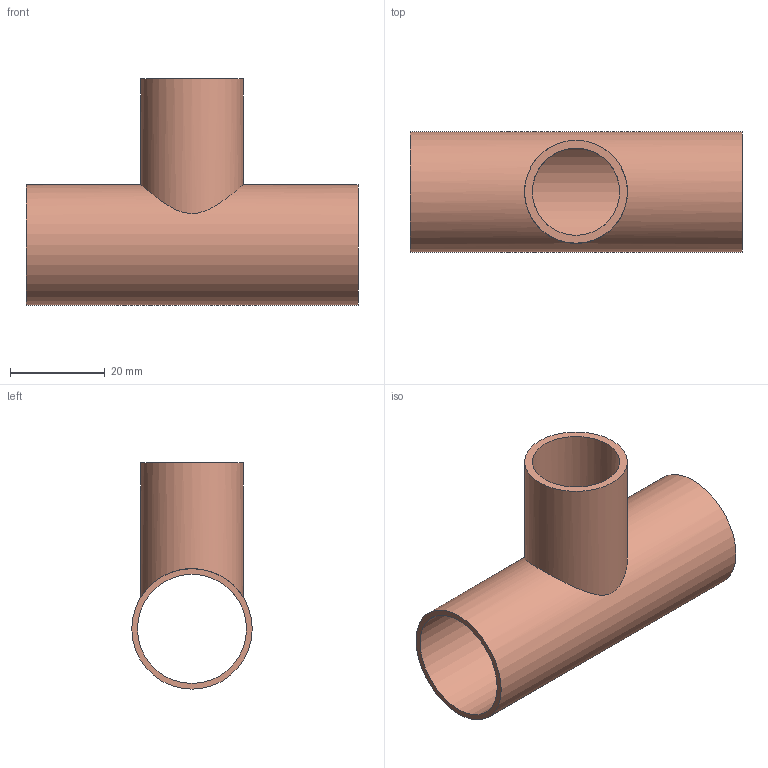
import cadquery as cq

run_length = 70.0
run_outer_diameter = 25.4
run_bore_diameter = 23.0

branch_height = 35.0
branch_outer_diameter = 21.7
branch_bore_diameter = 18.4


def run_cylinder(diameter):
    """Solid cylinder along X with the length of the main pipe."""
    return (
        cq.Workplane("YZ")
        .circle(diameter / 2)
        .extrude(run_length / 2, both=True)
    )


def branch_cylinder(diameter):
    """Solid cylinder from the main pipe's axis up to the branch mouth."""
    return cq.Workplane("XY").circle(diameter / 2).extrude(branch_height)


outer_body = run_cylinder(run_outer_diameter).union(branch_cylinder(branch_outer_diameter))

result = (
    outer_body
    .cut(run_cylinder(run_bore_diameter))
    .cut(branch_cylinder(branch_bore_diameter))
)